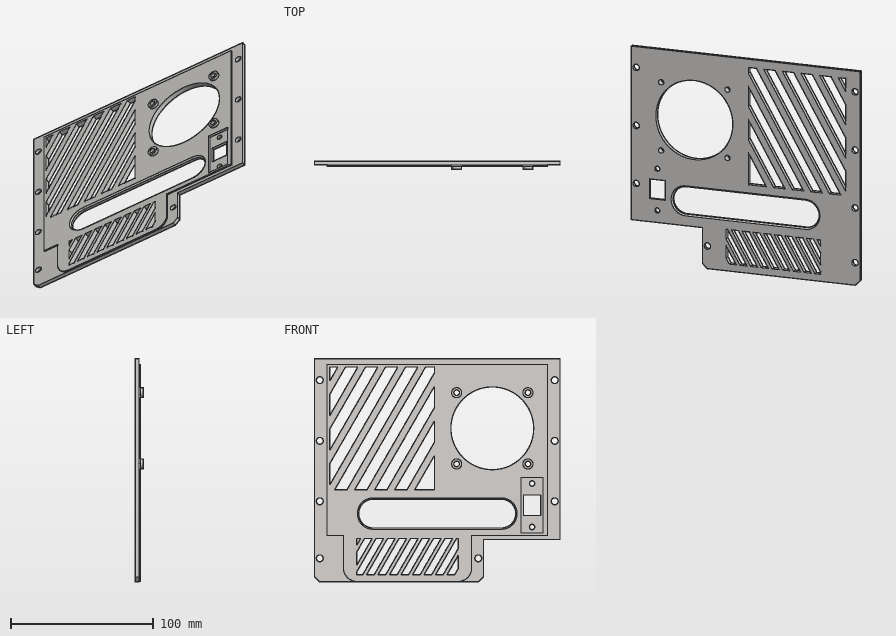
import cadquery as cq
import math


PLATE_WIDTH = 172.5
PLATE_HEIGHT = 156.8
PLATE_THICKNESS = 2.8
OVERALL_DEPTH = 5.9
TAIL_WIDTH = 118.9
SHOULDER_HEIGHT = 29.7
TAIL_CHAMFER = 3.6

PAD_RISE = 1.0
PAD_SIDE_MARGIN = 9.0
PAD_TOP = 152.7
PAD_SHOULDER = 32.6
PAD_TAIL_LEFT = 20.4
PAD_TAIL_RIGHT = 110.5
PAD_BOTTOM = 0.3
PAD_CORNER_RADIUS = 9.5
PAD_FACE = PLATE_THICKNESS + PAD_RISE

MOUNT_DIAMETER = 4.7
MOUNT_INSET = 3.8
MOUNT_SIDE_HEIGHTS = (56.6, 99.0, 141.7)
MOUNT_TAIL_HEIGHT = 16.5

FAN_X = 125.0
FAN_Z = 107.8
FAN_DIAMETER = 58.0
FAN_SCREW_PITCH = 50.0
BOSS_DIAMETER = 7.0
BOSS_HOLE_DIAMETER = 3.8
BOSS_RISE = OVERALL_DEPTH - PAD_FACE

SLOT_X = PLATE_WIDTH / 2
SLOT_Z = 48.0
SLOT_LENGTH = 110.1
SLOT_HEIGHT = 20.0
SLOT_CHAMFER = 1.0

SWITCH_X = 152.9
SWITCH_Z = 53.8
SEAT_WIDTH = 15.5
SEAT_HEIGHT = 38.8
SEAT_DEPTH = 1.7
WINDOW_WIDTH = 11.9
WINDOW_HEIGHT = 14.3
SWITCH_SCREW_PITCH = 30.5
SWITCH_SCREW_DIAMETER = 3.6

SLAT_ANGLE = 60.0
SLAT_SLOPE = math.tan(math.radians(SLAT_ANGLE))


def front_plane(height=0.0):
    """XZ sketch plane at a height above the back face, extruding toward -Y."""
    return cq.Workplane("XZ", origin=(0, -height, 0))


def holes(points, diameter):
    """Round cutters through the full part at the given (x, z) points."""
    return front_plane().pushPoints(points).circle(diameter / 2).extrude(OVERALL_DEPTH)


def base_plate():
    outline = front_plane().polyline([
        (TAIL_CHAMFER, 0),
        (TAIL_WIDTH - TAIL_CHAMFER, 0),
        (TAIL_WIDTH, TAIL_CHAMFER),
        (TAIL_WIDTH, SHOULDER_HEIGHT),
        (PLATE_WIDTH, SHOULDER_HEIGHT),
        (PLATE_WIDTH, PLATE_HEIGHT),
        (0, PLATE_HEIGHT),
        (0, TAIL_CHAMFER),
    ]).close()
    return outline.extrude(PLATE_THICKNESS)


def raised_pad():
    left = PAD_SIDE_MARGIN
    right = PLATE_WIDTH - PAD_SIDE_MARGIN
    outline = front_plane(PLATE_THICKNESS).polyline([
        (PAD_TAIL_LEFT, PAD_BOTTOM),
        (PAD_TAIL_RIGHT, PAD_BOTTOM),
        (PAD_TAIL_RIGHT, PAD_SHOULDER),
        (right, PAD_SHOULDER),
        (right, PAD_TOP),
        (left, PAD_TOP),
        (left, PAD_SHOULDER),
        (PAD_TAIL_LEFT, PAD_SHOULDER),
    ]).close()
    pad = outline.extrude(PAD_RISE)
    tail_corners = cq.selectors.BoxSelector(
        (0, -PAD_FACE, 0), (PLATE_WIDTH, 0, PAD_BOTTOM + PAD_RISE)
    )
    return pad.edges("|Y").edges(tail_corners).fillet(PAD_CORNER_RADIUS)


def mount_holes():
    right = PLATE_WIDTH - MOUNT_INSET
    points = [(x, z) for x in (MOUNT_INSET, right) for z in MOUNT_SIDE_HEIGHTS]
    points += [(x, MOUNT_TAIL_HEIGHT) for x in (MOUNT_INSET, TAIL_WIDTH - MOUNT_INSET)]
    return holes(points, MOUNT_DIAMETER)


def fan_screw_points():
    half = FAN_SCREW_PITCH / 2
    return [(FAN_X + i * half, FAN_Z + j * half) for i in (-1, 1) for j in (-1, 1)]


def fan_bosses():
    bosses = front_plane(PAD_FACE).pushPoints(fan_screw_points())
    return bosses.circle(BOSS_DIAMETER / 2).extrude(BOSS_RISE)


def slot_bevel(height, depth):
    """Tapered cutter, widest at the given height and narrowing over a signed depth."""
    mouth = front_plane(height).center(SLOT_X, SLOT_Z).slot2D(
        SLOT_LENGTH + 2 * SLOT_CHAMFER, SLOT_HEIGHT + 2 * SLOT_CHAMFER
    )
    return mouth.extrude(depth, taper=45)


def handle_slot():
    slot = front_plane().center(SLOT_X, SLOT_Z).slot2D(SLOT_LENGTH, SLOT_HEIGHT).extrude(PAD_FACE)
    return slot.union(slot_bevel(PAD_FACE, -SLOT_CHAMFER)).union(slot_bevel(0, SLOT_CHAMFER))


def switch_seat():
    seat = (
        front_plane(PAD_FACE)
        .center(SWITCH_X, SWITCH_Z)
        .rect(SEAT_WIDTH, SEAT_HEIGHT)
        .extrude(-SEAT_DEPTH)
    )
    window = (
        front_plane()
        .center(SWITCH_X, SWITCH_Z)
        .rect(WINDOW_WIDTH, WINDOW_HEIGHT)
        .extrude(PAD_FACE)
    )
    half = SWITCH_SCREW_PITCH / 2
    screws = holes([(SWITCH_X, SWITCH_Z - half), (SWITCH_X, SWITCH_Z + half)], SWITCH_SCREW_DIAMETER)
    return seat.union(window).union(screws)


def vent(left, right, bottom, top, first_gap, slat_rise, pitch_rise, slat_count):
    """Rectangular opening crossed by slats; rises and the first gap run along the left side."""
    lean = (top - bottom) / SLAT_SLOPE
    slat_width = slat_rise / SLAT_SLOPE
    opening = (
        front_plane()
        .center((left + right) / 2, (bottom + top) / 2)
        .rect(right - left, top - bottom)
        .extrude(PAD_FACE)
    )
    for i in range(slat_count):
        x = left + (first_gap + i * pitch_rise) / SLAT_SLOPE
        slat = front_plane().polyline([
            (x, top),
            (x + slat_width, top),
            (x + slat_width - lean, bottom),
            (x - lean, bottom),
        ]).close()
        opening = opening.cut(slat.extrude(PAD_FACE))
    return opening


large_vent = vent(
    left=10.9, right=84.2, bottom=64.9, top=150.8,
    first_gap=9.5, slat_rise=9.7, pitch_rise=24.3, slat_count=8,
)
small_vent = vent(
    left=29.9, right=101.0, bottom=5.2, top=30.4,
    first_gap=4.3, slat_rise=5.0, pitch_rise=14.0, slat_count=11,
)

result = (
    base_plate()
    .union(raised_pad())
    .union(fan_bosses())
    .cut(mount_holes())
    .cut(holes([(FAN_X, FAN_Z)], FAN_DIAMETER))
    .cut(holes(fan_screw_points(), BOSS_HOLE_DIAMETER))
    .cut(handle_slot())
    .cut(switch_seat())
    .cut(large_vent)
    .cut(small_vent)
)